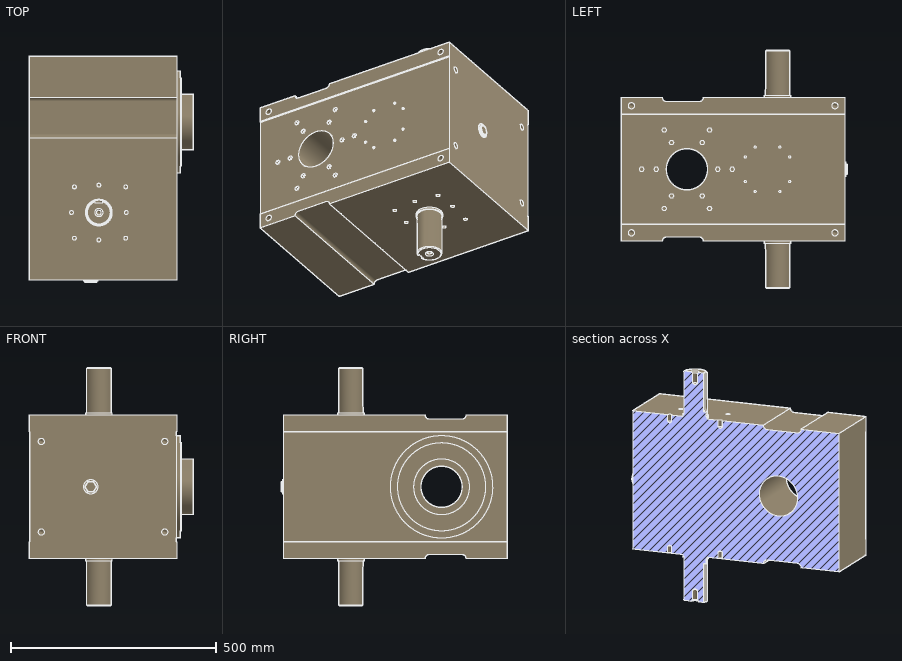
import cadquery as cq
import math


width = 360.0
length = 545.0
height = 350.0
pad_height = 40.0
side_relief = 2.0

groove_width = 98.5
groove_depth = 10.0
groove_fillet = 9.0
groove_y = length - 150.0

hub_y = length - 160.0
bore_radius = 50.0
hub_end_x = 400.0
flange_radius = 124.5
flange_face_x = width + 8.0
step_radius = 107.5
step_face_x = width + 10.5
hub_radius = 68.0

shaft_x = 170.0
shaft_y = 165.0
shaft_radius = 30.0
shaft_end_z = 290.0
shaft_chamfer = 2.5
collar_radius = 32.5
collar_height = 5.0
keyway_width = 18.0
keyway_depth = 7.0
keyway_start_z = height / 2 + 17.0
center_hole_radius = 6.0
center_hole_depth = 29.0
center_sink_radius = 10.0

corner_hole_radius = 7.5
corner_hole_depth = 23.0
corner_y_inset = 25.0
corner_z_inset = 20.5
front_hole_dx = 150.0
front_hole_dz = 110.0
bearing_hole_radius = 4.5
bearing_hole_depth = 17.5
inner_ring_radius = 66.5
outer_ring_radius = 88.0
outer_ring_offset = 3.0
drill_point_angle = 118

hub_socket_corners = 11.5
hub_socket_depth = 8.5
hub_screw_rings = (75.0, 110.0)
hub_screw_count = 6
cover_y = 189.0
cover_screw_near = 30.0
cover_screw_far = 54.0
cover_socket_corners = 6.0
cover_socket_depth = 4.0

plug_x = 150.0
plug_length = 5.0
plug_base_radius = 17.5
plug_base_height = 2.0
plug_flats = 25.5
plug_chamfer = 1.0

ABOVE = cq.Vector(0, 0, 1)
BELOW = cq.Vector(0, 0, -1)
RIGHTWARD = cq.Vector(1, 0, 0)
BACKWARD = cq.Vector(0, 1, 0)


def rod(radius, start, end):
    """Cylinder between two points."""
    axis = cq.Vector(*end) - cq.Vector(*start)
    return cq.Workplane(cq.Solid.makeCylinder(radius, axis.Length, cq.Vector(*start), axis))


def drilled_hole(radius, depth, mouth, direction):
    """Blind hole with a conical drill point, as a solid to cut away."""
    point_length = radius / math.tan(math.radians(drill_point_angle / 2))
    start = cq.Vector(*mouth)
    barrel = cq.Solid.makeCylinder(radius, depth, start, direction)
    tip = cq.Solid.makeCone(radius, 0, point_length, start + direction * depth, direction)
    return cq.Workplane(barrel).union(cq.Workplane(tip))


def housing():
    """Block with shallow side reliefs ending in 45 degree slopes, and two cross grooves."""
    top_z = height / 2
    pad_z = top_z - pad_height
    relief_z = pad_z - side_relief
    right_half = [
        (width, top_z),
        (width, pad_z),
        (width - side_relief, relief_z),
        (width - side_relief, -relief_z),
        (width, -pad_z),
        (width, -top_z),
    ]
    left_half = [(width - x, -z) for x, z in right_half]
    block = cq.Workplane("XZ").polyline(right_half + left_half).close().extrude(-length)
    for side in (1, -1):
        groove = (
            cq.Workplane("XY")
            .box(width, groove_width, 2 * groove_depth, centered=(False, True, True))
            .edges("|X")
            .fillet(groove_fillet)
        )
        block = block.cut(groove.translate((0, groove_y, side * height / 2)))
    return block


def hub():
    sections = (
        (flange_radius, flange_face_x),
        (step_radius, step_face_x),
        (hub_radius, hub_end_x),
    )
    body = cq.Workplane("XY")
    for radius, face_x in sections:
        body = body.union(rod(radius, (width / 2, hub_y, 0), (face_x, hub_y, 0)))
    return body


def upper_shaft():
    """Upper half of the input shaft, with its collar, keyway and center hole."""
    shaft = rod(shaft_radius, (shaft_x, shaft_y, height / 4), (shaft_x, shaft_y, shaft_end_z))
    shaft = shaft.faces(">Z").chamfer(shaft_chamfer)
    collar_top = height / 2 + collar_height
    shaft = shaft.union(rod(collar_radius, (shaft_x, shaft_y, height / 4), (shaft_x, shaft_y, collar_top)))

    keyway_end_z = keyway_start_z + keyway_width / 2
    keyway_floor_y = shaft_y + shaft_radius - keyway_depth
    keyway_outer_y = shaft_y + shaft_radius
    keyway = cq.Workplane("XY").box(
        keyway_width, keyway_depth, shaft_end_z - keyway_end_z, centered=(True, False, False)
    )
    keyway = keyway.translate((shaft_x, keyway_floor_y, keyway_end_z))
    round_end = rod(
        keyway_width / 2, (shaft_x, keyway_floor_y, keyway_end_z), (shaft_x, keyway_outer_y, keyway_end_z)
    )
    shaft = shaft.cut(keyway).cut(round_end)

    mouth = (shaft_x, shaft_y, shaft_end_z)
    sink_depth = center_sink_radius - center_hole_radius
    sink = cq.Solid.makeCone(
        center_sink_radius, center_hole_radius, sink_depth, cq.Vector(*mouth), BELOW
    )
    center_hole = drilled_hole(center_hole_radius, center_hole_depth, mouth, BELOW)
    return shaft.cut(cq.Workplane(sink)).cut(center_hole)


def plug():
    base = rod(plug_base_radius, (plug_x, 0, 0), (plug_x, -plug_base_height, 0))
    corner_diameter = plug_flats / math.cos(math.pi / 6)
    head = (
        cq.Workplane("XZ")
        .center(plug_x, 0)
        .polygon(6, corner_diameter)
        .extrude(plug_length)
        .faces("<Y")
        .chamfer(plug_chamfer)
    )
    return base.union(head)


def left_corner_holes():
    z = height / 2 - corner_z_inset
    return [
        drilled_hole(corner_hole_radius, corner_hole_depth, (0, y, side * z), RIGHTWARD)
        for y in (corner_y_inset, length - corner_y_inset)
        for side in (1, -1)
    ]


def front_holes():
    return [
        drilled_hole(
            corner_hole_radius,
            corner_hole_depth,
            (width / 2 + side_x * front_hole_dx, 0, side_z * front_hole_dz),
            BACKWARD,
        )
        for side_x in (1, -1)
        for side_z in (1, -1)
    ]


def bearing_cover_holes():
    """Two rings of four holes around the shaft, in the top and bottom faces."""
    rings = (
        (inner_ring_radius, shaft_x, 0),
        (outer_ring_radius, shaft_x + outer_ring_offset, 45),
    )
    holes = []
    for radius, center_x, first_angle in rings:
        for step in range(4):
            angle = math.radians(first_angle + 90 * step)
            x = center_x + radius * math.cos(angle)
            y = shaft_y + radius * math.sin(angle)
            for side, direction in ((1, BELOW), (-1, ABOVE)):
                mouth = (x, y, side * height / 2)
                holes.append(drilled_hole(bearing_hole_radius, bearing_hole_depth, mouth, direction))
    return holes


def screw_sockets(points, corner_diameter, depth):
    """Hexagon sockets sunk into the left face at (y, z) points."""
    return (
        cq.Workplane("YZ", origin=(side_relief, 0, 0))
        .pushPoints(points)
        .polygon(6, corner_diameter)
        .extrude(depth)
    )


def hub_screw_sockets():
    points = []
    for radius in hub_screw_rings:
        for step in range(hub_screw_count):
            angle = 2 * math.pi * step / hub_screw_count
            points.append((hub_y + radius * math.cos(angle), radius * math.sin(angle)))
    return screw_sockets(points, hub_socket_corners, hub_socket_depth)


def cover_screw_sockets():
    points = []
    for side_y in (1, -1):
        for side_z in (1, -1):
            points.append((cover_y + side_y * cover_screw_near, side_z * cover_screw_far))
            points.append((cover_y + side_y * cover_screw_far, side_z * cover_screw_near))
    return screw_sockets(points, cover_socket_corners, cover_socket_depth)


shaft_half = upper_shaft()
result = housing().union(hub()).union(shaft_half).union(shaft_half.mirror("XY")).union(plug())
result = result.cut(rod(bore_radius, (0, hub_y, 0), (hub_end_x, hub_y, 0)))
for hole in left_corner_holes() + front_holes() + bearing_cover_holes():
    result = result.cut(hole)
result = result.cut(hub_screw_sockets()).cut(cover_screw_sockets())